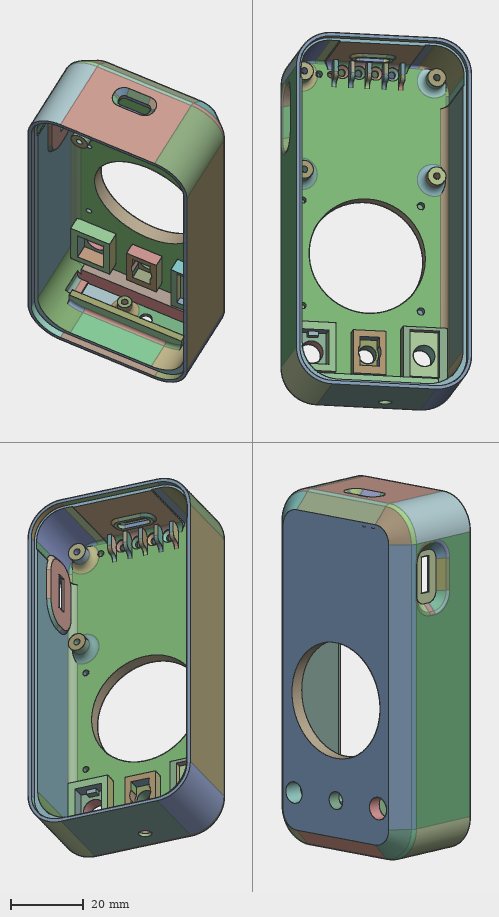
import cadquery as cq
import math

SELECT_MARGIN = 0.1
FLARE_TAPER = -45

WIDTH = 49.0
DEPTH = 28.0
HEIGHT = 100.0
CORNER_RADIUS = 10.0
BACK_CHAMFER = 5.0
BACK_EDGE_RADIUS = 2.0
FRONT_Y = -DEPTH / 2
BACK_Y = DEPTH / 2

WALL = 2.0
FLOOR_THICKNESS = 4.0
FLOOR_Y = BACK_Y - FLOOR_THICKNESS
FLOOR_FILLET = 2.0
INNER_WIDTH = WIDTH - 2 * WALL
INNER_HEIGHT = HEIGHT - 2 * WALL
INNER_TOP_Z = INNER_HEIGHT / 2
INNER_BOTTOM_Z = -INNER_TOP_Z
LIP_WALL = 1.0
LIP_DEPTH = 2.0

WINDOW_DIAMETER = 32.5
WINDOW_Z = -6.5
SCREW_ROW_SPACING = 30.0
LEFT_SCREW_X = -18.0
LEFT_SCREW_DIAMETER = 1.7
RIGHT_SCREW_X = 15.0
RIGHT_SCREW_DIAMETER = 2.0
SCREW_HOLE_DEPTH = 2.0

POST_X = 18.55
POST_ROWS_Z = (16.0, 44.0)
POST_DIAMETER = 5.1
POST_HOLE_DIAMETER = 1.8
POST_HEIGHT = 4.7
POST_FILLET = 2.0
CORNER_RELIEF_RADIUS = 7.8
CORNER_RELIEF_UNDERCUT = 0.3
CORNER_RELIEF_FILLET = 0.8

BUTTON_Z = -34.6
LEFT_FRAME = (-21.6, -9.6, -40.9, -27.0)
LEFT_POCKET = (-19.4, -11.5, -38.95, -29.2)
LEFT_BUTTON_X = -15.55
LEFT_BUTTON_DIAMETER = 6.3
MIDDLE_FRAME = (-4.6, 4.6, -40.9, -28.6)
MIDDLE_POCKET = (-2.7, 2.7, -38.6, -30.4)
MIDDLE_BUTTON_X = 0.0
MIDDLE_BUTTON_DIAMETER = 5.0
MIDDLE_RELIEF_DIAMETER = 6.3
RIGHT_FRAME = (9.3, 21.6, -43.4, -27.0)
RIGHT_POCKET = (11.2, 19.4, -41.15, -27.9)
RIGHT_BUTTON_X = 15.5
RIGHT_BUTTON_DIAMETER = 6.0
RIGHT_POCKET_DEPTH = 2.0
SIDE_FRAME_HEIGHT = 4.0
MIDDLE_FRAME_HEIGHT = 3.5
KEY_WIDTH = 2.9
KEY_LENGTH = 1.25
KEY_HEIGHT = 2.0

RIB_COUNT = 5
RIB_PITCH = 4.67
RIB_WIDTH = 1.2
RIB_SHOULDER_Z = 44.6
RIB_ARC_RADIUS = 1.7
LIGHT_Z = 45.5
LIGHT_DIAMETER = 2.0
LIGHT_MOUTH_DIAMETER = 3.7
LIGHT_MOUTH_DEPTH = 0.85
PINHOLE_DIAMETER = 1.8
PINHOLE_Z = 44.6
PINHOLES_X = (-13.5, -10.2)
CHAMFER_SKIN = 1.0

SIDE_RECESS_Y = 1.5
SIDE_RECESS_Z = 29.5
SIDE_RECESS_WIDTH = 8.0
SIDE_RECESS_HEIGHT = 15.0
SIDE_RECESS_RADIUS = 3.0
SIDE_RECESS_DEPTH = 2.4
SIDE_RIM_RADIUS = 1.4
SIDE_PAD_RISE = 0.9
SIDE_PAD_MARGIN = 2.6
SIDE_SLOT_WIDTH = 3.0
SIDE_SLOT_HEIGHT = 10.2
SIDE_SLOT_Y = 1.85
SIDE_SLOT_Z = 30.15

TOP_SLOT_Y = 2.25
TOP_SLOT_LENGTH = 9.4
TOP_SLOT_WIDTH = 3.4
TOP_SLOT_RADIUS = 1.35
TOP_FLARE = 1.6
TOP_PAD_RISE = 0.8
TOP_PAD_MARGIN = 0.9

CHANNEL_TOP_Z = -44.0
RIDGE_FRONT_Y = -3.3
RIDGE_THICKNESS = 2.0
RIDGE_BACK_Y = RIDGE_FRONT_Y + RIDGE_THICKNESS
RIDGE_LENGTH = 34.6
RIDGE_FILLET = 1.0
SHELF_FRONT_Y = 5.9
SHELF_LENGTH = 36.6
CHANNEL_FLOOR_Z = -49.0
CHANNEL_FLOOR_LENGTH = 32.2
CHANNEL_STEP_Z = -48.4
CHANNEL_LENGTH = 38.8
CHANNEL_END_RADIUS = 1.3
PIN_X = -3.0
PIN_Y = 2.2
PIN_DIAMETER = 4.0
PIN_HOLE_DIAMETER = 1.8
PIN_HEIGHT = 4.0
PIN_FILLET = 2.0
CORD_HOLE_X = 3.5
CORD_HOLE_DIAMETER = 3.6


def front_plane(y):
    """Workplane at depth y with local x = X, local y = Z; it extrudes toward -Y."""
    return cq.Workplane("XZ", origin=(0, y, 0))


def block(x0, x1, y0, y1, z0, z1):
    """Box between two opposite corners."""
    return cq.Workplane("XY").box(x1 - x0, y1 - y0, z1 - z0, centered=False).translate((x0, y0, z0))


def cylinder_y(diameter, x, z, y_back, length):
    """Cylinder along Y, from y_back toward the open front."""
    return front_plane(y_back).center(x, z).circle(diameter / 2).extrude(length)


def rounded_slab(width, height, radius, y_back, y_front):
    """Slab across Y with rounded corners in the XZ plane."""
    slab = front_plane(y_back).rect(width, height).extrude(y_back - y_front)
    return slab.edges("|Y").fillet(radius)


def filleted_post(diameter, height, fillet):
    """Solid of revolution along local z: a post with a concave fillet at its foot."""
    radius = diameter / 2
    knee = fillet * (1 - math.sqrt(0.5))
    return (
        cq.Workplane("XZ")
        .lineTo(radius + fillet, 0)
        .threePointArc((radius + knee, knee), (radius, fillet))
        .lineTo(radius, height)
        .lineTo(0, height)
        .close()
        .revolve(360, (0, 0, 0), (0, 1, 0))
    )


def make_cavity():
    cavity = rounded_slab(INNER_WIDTH, INNER_HEIGHT, CORNER_RADIUS, FLOOR_Y, FRONT_Y)
    return cavity.faces(">Y").edges().fillet(FLOOR_FILLET)


def make_outer():
    outer = rounded_slab(WIDTH, HEIGHT, CORNER_RADIUS, BACK_Y, FRONT_Y)
    outer = outer.faces(">Y").edges().chamfer(BACK_CHAMFER)
    shoulder = cq.selectors.BoxSelector(
        (-WIDTH, BACK_Y - BACK_CHAMFER - SELECT_MARGIN, -HEIGHT),
        (WIDTH, BACK_Y - BACK_CHAMFER + SELECT_MARGIN, HEIGHT),
    )
    return outer.edges(shoulder).fillet(BACK_EDGE_RADIUS)


def make_lip():
    lip_radius = CORNER_RADIUS - LIP_WALL
    return rounded_slab(
        WIDTH - 2 * LIP_WALL, HEIGHT - 2 * LIP_WALL, lip_radius, FRONT_Y + LIP_DEPTH, FRONT_Y
    )


def make_corner_reliefs():
    """Round pockets, cut slightly into the walls, that clear the two upper posts."""
    growth = 2 * CORNER_RELIEF_UNDERCUT
    radius = CORNER_RADIUS - WALL + CORNER_RELIEF_UNDERCUT
    reach = rounded_slab(INNER_WIDTH + growth, INNER_HEIGHT + growth, radius, FLOOR_Y, FRONT_Y)
    reach = reach.faces(">Y").edges().fillet(CORNER_RELIEF_FILLET)
    top_z = max(POST_ROWS_Z)
    zones = cq.Workplane("XY")
    for side in (-1, 1):
        zone = cylinder_y(2 * CORNER_RELIEF_RADIUS, side * POST_X, top_z, FLOOR_Y, FLOOR_Y - FRONT_Y)
        zones = zones.union(zone)
    return reach.intersect(zones)


def post_places():
    return [(side * POST_X, z) for side in (-1, 1) for z in POST_ROWS_Z]


def make_posts():
    post = filleted_post(POST_DIAMETER, POST_HEIGHT, POST_FILLET).rotate((0, 0, 0), (1, 0, 0), 90)
    posts = cq.Workplane("XY")
    for x, z in post_places():
        posts = posts.union(post.translate((x, FLOOR_Y, z)))
    return posts


def make_post_holes():
    return front_plane(FLOOR_Y).pushPoints(post_places()).circle(POST_HOLE_DIAMETER / 2).extrude(POST_HEIGHT)


def make_window_cuts():
    cuts = cylinder_y(WINDOW_DIAMETER, 0, WINDOW_Z, BACK_Y, FLOOR_THICKNESS)
    screws = ((LEFT_SCREW_X, LEFT_SCREW_DIAMETER), (RIGHT_SCREW_X, RIGHT_SCREW_DIAMETER))
    for x, diameter in screws:
        for row in (-1, 1):
            z = WINDOW_Z + row * SCREW_ROW_SPACING / 2
            cuts = cuts.union(cylinder_y(diameter, x, z, FLOOR_Y + SCREW_HOLE_DEPTH, SCREW_HOLE_DEPTH))
    return cuts


def prism(rectangle, y_front, y_back):
    """Block over an (x_min, x_max, z_min, z_max) rectangle."""
    x_min, x_max, z_min, z_max = rectangle
    return block(x_min, x_max, y_front, y_back, z_min, z_max)


def make_button_frames():
    side_front = FLOOR_Y - SIDE_FRAME_HEIGHT
    middle_front = FLOOR_Y - MIDDLE_FRAME_HEIGHT

    left = prism(LEFT_FRAME, side_front, FLOOR_Y).cut(prism(LEFT_POCKET, side_front, FLOOR_Y))
    pocket_left, pocket_right, _, pocket_top = LEFT_POCKET
    key_center = (pocket_left + pocket_right) / 2
    key = (key_center - KEY_WIDTH / 2, key_center + KEY_WIDTH / 2, pocket_top - KEY_LENGTH, pocket_top)
    left = left.union(prism(key, FLOOR_Y - KEY_HEIGHT, FLOOR_Y))

    middle = prism(MIDDLE_FRAME, middle_front, FLOOR_Y)
    middle = middle.cut(prism(MIDDLE_POCKET, middle_front, FLOOR_Y))
    middle = middle.cut(
        cylinder_y(MIDDLE_RELIEF_DIAMETER, MIDDLE_BUTTON_X, BUTTON_Z, FLOOR_Y, MIDDLE_FRAME_HEIGHT)
    )

    right = prism(RIGHT_FRAME, side_front, FLOOR_Y)
    right = right.cut(prism(RIGHT_POCKET, side_front, side_front + RIGHT_POCKET_DEPTH))
    return left.union(middle).union(right)


def make_button_holes():
    buttons = (
        (LEFT_BUTTON_X, LEFT_BUTTON_DIAMETER),
        (MIDDLE_BUTTON_X, MIDDLE_BUTTON_DIAMETER),
        (RIGHT_BUTTON_X, RIGHT_BUTTON_DIAMETER),
    )
    holes = cq.Workplane("XY")
    for x, diameter in buttons:
        holes = holes.union(cylinder_y(diameter, x, BUTTON_Z, BACK_Y, FLOOR_THICKNESS + SIDE_FRAME_HEIGHT))
    return holes


def rib_positions():
    return [(index - (RIB_COUNT - 1) / 2) * RIB_PITCH for index in range(RIB_COUNT)]


def make_ribs():
    """Ribs that leave the floor in an S-curve and run up to the top wall."""
    r = RIB_ARC_RADIUS
    front_y = FLOOR_Y - 2 * r
    foot_z = RIB_SHOULDER_Z - 2 * r
    bend = r * math.sqrt(0.5)
    profile = (
        cq.Workplane("YZ")
        .moveTo(FLOOR_Y, INNER_TOP_Z)
        .lineTo(front_y, INNER_TOP_Z)
        .lineTo(front_y, RIB_SHOULDER_Z)
        .threePointArc((front_y + r - bend, RIB_SHOULDER_Z - bend), (front_y + r, RIB_SHOULDER_Z - r))
        .threePointArc((FLOOR_Y - r + bend, foot_z + bend), (FLOOR_Y, foot_z))
        .close()
    )
    rib = profile.extrude(RIB_WIDTH / 2, both=True)
    ribs = cq.Workplane("XY")
    for x in rib_positions():
        ribs = ribs.union(rib.translate((x, 0, 0)))
    return ribs


def make_light_holes():
    """Blind holes in the floor, ending in a slope parallel to the back chamfer."""
    rib_x = rib_positions()
    drill_length = BACK_Y - FLOOR_Y + FLOOR_FILLET
    holes = cq.Workplane("XY")
    mouths = cq.Workplane("XY")
    for left_x, right_x in zip(rib_x, rib_x[1:]):
        x = (left_x + right_x) / 2
        holes = holes.union(cylinder_y(LIGHT_DIAMETER, x, LIGHT_Z, BACK_Y, drill_length))
        mouth = (
            front_plane(FLOOR_Y + LIGHT_MOUTH_DEPTH)
            .center(x, LIGHT_Z)
            .circle(LIGHT_DIAMETER / 2)
            .workplane(offset=LIGHT_MOUTH_DEPTH)
            .circle(LIGHT_MOUTH_DIAMETER / 2)
            .loft(ruled=True)
        )
        mouths = mouths.union(mouth)
        mouths = mouths.union(cylinder_y(LIGHT_MOUTH_DIAMETER, x, LIGHT_Z, FLOOR_Y, FLOOR_FILLET))
    for x in PINHOLES_X:
        holes = holes.union(cylinder_y(PINHOLE_DIAMETER, x, PINHOLE_Z, BACK_Y, drill_length))

    chamfer_sum = BACK_Y + HEIGHT / 2 - BACK_CHAMFER
    slope_sum = chamfer_sum - CHAMFER_SKIN * math.sqrt(2)
    core = (
        cq.Workplane("YZ")
        .moveTo(FRONT_Y, 0)
        .lineTo(slope_sum, 0)
        .lineTo(FRONT_Y, slope_sum - FRONT_Y)
        .close()
        .extrude(WIDTH / 2, both=True)
    )
    return holes.intersect(core).union(mouths)


def side_plane(x, y, z):
    """Workplane that faces outward on the -X side, with local y along Z."""
    return cq.Workplane(cq.Plane(origin=(x, y, z), xDir=(0, -1, 0), normal=(-1, 0, 0)))


def rounded_outline(width, height, radius, margin):
    """Rounded rectangle sketch, offset outward by a margin."""
    outline = cq.Sketch().rect(width + 2 * margin, height + 2 * margin)
    return outline.vertices().fillet(radius + margin)


def side_frustum(x, margin, rise):
    """45-degree flared solid that widens toward -X from an offset of the side recess outline."""
    outline = rounded_outline(SIDE_RECESS_WIDTH, SIDE_RECESS_HEIGHT, SIDE_RECESS_RADIUS, margin)
    return side_plane(x, SIDE_RECESS_Y, SIDE_RECESS_Z).placeSketch(outline).extrude(rise, taper=FLARE_TAPER)


def make_side_pad():
    return side_frustum(-INNER_WIDTH / 2 + SIDE_PAD_RISE, SIDE_PAD_MARGIN, SIDE_PAD_RISE + WALL / 2)


def make_side_cut():
    """Flared recess with a rounded rim, and the connector slot through its floor."""
    recess = side_frustum(-WIDTH / 2 + SIDE_RECESS_DEPTH, 0, SIDE_RECESS_DEPTH)
    air_size = 2 * SIDE_RECESS_HEIGHT
    air = side_plane(-WIDTH / 2, SIDE_RECESS_Y, SIDE_RECESS_Z).rect(air_size, air_size).extrude(WALL)
    cut = recess.union(air)
    rim_reach = 2 * SIDE_RECESS_DEPTH
    reach_y = SIDE_RECESS_WIDTH / 2 + rim_reach
    reach_z = SIDE_RECESS_HEIGHT / 2 + rim_reach
    rim = cq.selectors.BoxSelector(
        (-WIDTH / 2 - SELECT_MARGIN, SIDE_RECESS_Y - reach_y, SIDE_RECESS_Z - reach_z),
        (-WIDTH / 2 + SELECT_MARGIN, SIDE_RECESS_Y + reach_y, SIDE_RECESS_Z + reach_z),
    )
    cut = cut.edges(rim).fillet(SIDE_RIM_RADIUS)
    slot_plane = side_plane(-INNER_WIDTH / 2 + SIDE_PAD_RISE, SIDE_SLOT_Y, SIDE_SLOT_Z)
    slot = slot_plane.rect(SIDE_SLOT_WIDTH, SIDE_SLOT_HEIGHT).extrude(WALL)
    return cut.union(slot)


def top_frustum(z, margin, rise, taper):
    """Solid rising in Z from an offset of the top slot outline."""
    outline = rounded_outline(TOP_SLOT_LENGTH, TOP_SLOT_WIDTH, TOP_SLOT_RADIUS, margin)
    plane = cq.Workplane("XY", origin=(0, TOP_SLOT_Y, z))
    return plane.placeSketch(outline).extrude(rise, taper=taper)


def make_top_pad():
    return top_frustum(INNER_TOP_Z - TOP_PAD_RISE, TOP_PAD_MARGIN, TOP_PAD_RISE + WALL / 2, FLARE_TAPER)


def make_top_cut():
    slot = top_frustum(INNER_TOP_Z - TOP_PAD_RISE, 0, TOP_PAD_RISE + WALL, 0)
    return slot.union(top_frustum(HEIGHT / 2 - TOP_FLARE, 0, TOP_FLARE, FLARE_TAPER))


def make_channel_walls():
    """Ridge and shelf that stand on the bottom wall on either side of the channel."""
    half_ridge = RIDGE_LENGTH / 2
    half_shelf = SHELF_LENGTH / 2
    ridge = block(-half_ridge, half_ridge, RIDGE_FRONT_Y, RIDGE_BACK_Y, CHANNEL_FLOOR_Z, CHANNEL_TOP_Z)
    shelf = block(-half_shelf, half_shelf, SHELF_FRONT_Y, FLOOR_Y, CHANNEL_FLOOR_Z, CHANNEL_TOP_Z)
    return ridge.union(shelf)


def make_channel_cut():
    """Channel sunk into the bottom wall, with a raised step and a rounded end on each side."""
    half_length = CHANNEL_LENGTH / 2
    half_floor = CHANNEL_FLOOR_LENGTH / 2
    ends = block(-half_length, half_length, RIDGE_BACK_Y, SHELF_FRONT_Y, CHANNEL_STEP_Z, CHANNEL_TOP_Z)
    ends = ends.edges("|Y and <Z").fillet(CHANNEL_END_RADIUS)
    floor = block(-half_floor, half_floor, RIDGE_BACK_Y, SHELF_FRONT_Y, CHANNEL_FLOOR_Z, CHANNEL_TOP_Z)
    return ends.union(floor)


def round_ridge_foot(case):
    """Fillet the front face of the ridge into the bottom wall and its corners."""
    half_ridge = RIDGE_LENGTH / 2
    foot = cq.selectors.BoxSelector(
        (-half_ridge, RIDGE_FRONT_Y - SELECT_MARGIN, INNER_BOTTOM_Z - SELECT_MARGIN),
        (half_ridge, RIDGE_FRONT_Y + SELECT_MARGIN, INNER_BOTTOM_Z + RIDGE_FILLET),
    )
    return case.edges(foot).fillet(RIDGE_FILLET)


def make_pin():
    return filleted_post(PIN_DIAMETER, PIN_HEIGHT, PIN_FILLET).translate((PIN_X, PIN_Y, CHANNEL_FLOOR_Z))


def make_bottom_cuts():
    pin_hole = cq.Workplane("XY", origin=(PIN_X, PIN_Y, CHANNEL_FLOOR_Z))
    pin_hole = pin_hole.circle(PIN_HOLE_DIAMETER / 2).extrude(PIN_HEIGHT)
    cord_hole = cq.Workplane("XY", origin=(CORD_HOLE_X, PIN_Y, -HEIGHT / 2))
    cord_hole = cord_hole.circle(CORD_HOLE_DIAMETER / 2).extrude(WALL + PIN_HEIGHT)
    return pin_hole.union(cord_hole)


def make_case():
    outer = make_outer()
    inside = (
        make_posts()
        .union(make_button_frames())
        .union(make_ribs())
        .union(make_side_pad())
        .union(make_top_pad())
        .union(make_channel_walls())
        .union(make_pin())
    )
    case = outer
    for cut in (make_cavity(), make_corner_reliefs(), make_light_holes(), make_channel_cut()):
        case = case.cut(cut)
    case = case.union(inside.intersect(outer))
    case = round_ridge_foot(case).cut(make_lip())
    for cut in (
        make_post_holes(),
        make_window_cuts(),
        make_button_holes(),
        make_side_cut(),
        make_top_cut(),
        make_bottom_cuts(),
    ):
        case = case.cut(cut)
    return case


result = make_case()